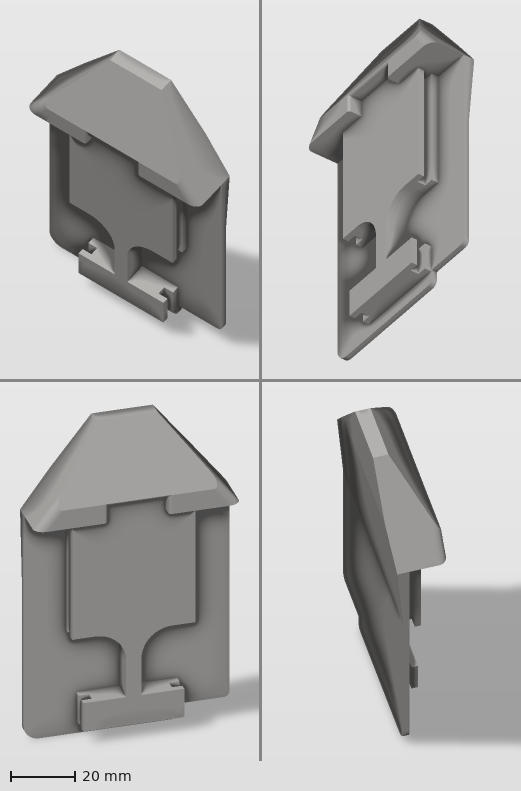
import cadquery as cq

plate_back_y = -3.0
plate_front_y = -5.0
groove_back_y = -7.6
groove_front_y = -10.6
block_front_y = -12.7
head_front_y = -17.7
tip_front_y = -5.0

width = 66.9
half_width = width / 2
foot_right_x = 16.4
foot_step_height = 5.2
large_corner_radius = 5.0
small_corner_radius = 2.0

total_height = 109.5
head_bottom_z = 79.8
tip_width = 20.0
slope_bottom_z = 86.5
head_edge_radius = 3.0
taper_bottom_z = 55.0
taper_top_z = 92.5

notch_width = 20.0
notch_top_z = 85.8
notch_edge_radius = 1.0

block_width = 40.0
block_bottom_z = 37.5
stem_width = 5.0
stem_fillet_radius = 10.0
bar_bottom_z = 4.5
bar_height = 10.0
groove_depth = 3.4


def box(x_min, x_max, y_min, y_max, z_min, z_max):
    """Axis-aligned box given by its limits."""
    size = (x_max - x_min, y_max - y_min, z_max - z_min)
    return cq.Workplane("XY").box(*size, centered=False).translate((x_min, y_min, z_min))


def between(outline, front_y, back_y):
    """Extrude an XZ outline drawn at y = 0 so that it spans front_y to back_y."""
    return outline.extrude(back_y - front_y).translate((0, back_y, 0))


def make_plate():
    """Thin backing plate with a stepped lower edge and rounded lower corners."""
    outline = (
        cq.Workplane("XZ")
        .moveTo(-half_width, large_corner_radius)
        .radiusArc((-half_width + large_corner_radius, 0), -large_corner_radius)
        .lineTo(foot_right_x - small_corner_radius, 0)
        .radiusArc((foot_right_x, small_corner_radius), -small_corner_radius)
        .lineTo(foot_right_x, foot_step_height)
        .lineTo(half_width - small_corner_radius, foot_step_height)
        .radiusArc((half_width, foot_step_height + small_corner_radius), -small_corner_radius)
        .lineTo(half_width, head_bottom_z)
        .lineTo(-half_width, head_bottom_z)
        .close()
    )
    return between(outline, plate_front_y, plate_back_y)


def make_head():
    """Tapered head with rounded front edges, a front notch and a sloping front face."""
    outline = (
        cq.Workplane("XZ")
        .moveTo(-half_width, head_bottom_z)
        .lineTo(half_width, head_bottom_z)
        .lineTo(tip_width / 2, total_height)
        .lineTo(-tip_width / 2, total_height)
        .close()
    )
    head = between(outline, head_front_y, 0)
    head = head.faces("<Y").edges("not |X").fillet(head_edge_radius)

    notch = box(
        -notch_width / 2, notch_width / 2,
        head_front_y, block_front_y,
        head_bottom_z, notch_top_z,
    )
    head = head.cut(notch)
    notch_sides = head.faces("<Y").edges("|Z")
    notch_top = head.faces("<Y").edges(cq.NearestToPointSelector((0, head_front_y, notch_top_z)))
    head = notch_sides.add(notch_top).fillet(notch_edge_radius)

    slope = (
        cq.Workplane("YZ")
        .moveTo(tip_front_y, total_height)
        .lineTo(head_front_y, slope_bottom_z)
        .lineTo(head_front_y, total_height)
        .close()
        .extrude(half_width, both=True)
    )
    return head.cut(slope)


def make_thickening():
    """Full-width slab behind the plate, from the start of the taper up to the head."""
    return box(-half_width, half_width, plate_back_y, 0, taper_bottom_z, head_bottom_z)


def make_back_taper():
    """Wedge to remove so that the back slopes from the plate out to the head."""
    return (
        cq.Workplane("YZ")
        .moveTo(plate_back_y, taper_bottom_z)
        .lineTo(0, taper_top_z)
        .lineTo(0, taper_bottom_z)
        .close()
        .extrude(half_width, both=True)
    )


def make_mount():
    """Block, filleted stem and crossbar, with a groove along each side of block and bar."""
    half_block = block_width / 2
    half_stem = stem_width / 2
    arc_x = half_stem + stem_fillet_radius
    arc_z = block_bottom_z - stem_fillet_radius
    bar_top_z = bar_bottom_z + bar_height
    outline = (
        cq.Workplane("XZ")
        .moveTo(-half_block, head_bottom_z)
        .lineTo(-half_block, block_bottom_z)
        .lineTo(-arc_x, block_bottom_z)
        .radiusArc((-half_stem, arc_z), stem_fillet_radius)
        .lineTo(-half_stem, bar_top_z)
        .lineTo(-foot_right_x, bar_top_z)
        .lineTo(-foot_right_x, bar_bottom_z)
        .lineTo(foot_right_x, bar_bottom_z)
        .lineTo(foot_right_x, bar_top_z)
        .lineTo(half_stem, bar_top_z)
        .lineTo(half_stem, arc_z)
        .radiusArc((arc_x, block_bottom_z), stem_fillet_radius)
        .lineTo(half_block, block_bottom_z)
        .lineTo(half_block, head_bottom_z)
        .close()
    )
    mount = between(outline, block_front_y, plate_front_y)

    sides = [
        (half_block, block_bottom_z, head_bottom_z),
        (foot_right_x, bar_bottom_z, bar_top_z),
    ]
    for side_x, z_min, z_max in sides:
        for x_min in (-side_x, side_x - groove_depth):
            groove = box(x_min, x_min + groove_depth, groove_front_y, groove_back_y, z_min, z_max)
            mount = mount.cut(groove)
    return mount


body = make_head().union(make_plate()).union(make_thickening())
result = body.cut(make_back_taper()).union(make_mount())